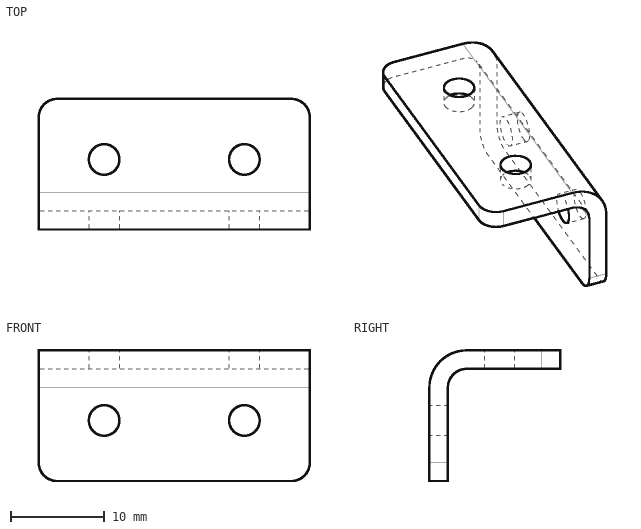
import cadquery as cq

length = 29.0
leg = 14.0
thickness = 2.0
inner_bend_radius = 2.0
outer_bend_radius = inner_bend_radius + thickness
corner_radius = 2.0
hole_diameter = 3.25
hole_spacing = 15.0
hole_from_outer_face = 7.5

hole_positions_x = (-hole_spacing / 2, hole_spacing / 2)


def bent_plate():
    """L-shaped plate: one leg runs along +Y, the other along -Z."""
    profile = (
        cq.Workplane("YZ")
        .moveTo(0, -leg)
        .lineTo(0, -outer_bend_radius)
        .radiusArc((outer_bend_radius, 0), outer_bend_radius)
        .lineTo(leg, 0)
        .lineTo(leg, -thickness)
        .lineTo(outer_bend_radius, -thickness)
        .radiusArc((thickness, -outer_bend_radius), -inner_bend_radius)
        .lineTo(thickness, -leg)
        .close()
    )
    return profile.extrude(length / 2, both=True)


def round_free_corners(plate):
    """Round the two free corners at the end of each leg."""
    plate = plate.faces(">Y").edges("|Z").fillet(corner_radius)
    return plate.faces("<Z").edges("|Y").fillet(corner_radius)


def leg_holes(plane, centre_y):
    """Pair of cylinders that pass through one leg along the plane normal."""
    centres = [(x, centre_y) for x in hole_positions_x]
    return (
        cq.Workplane(plane)
        .pushPoints(centres)
        .circle(hole_diameter / 2)
        .extrude(thickness, both=True)
    )


result = (
    round_free_corners(bent_plate())
    .cut(leg_holes("XY", hole_from_outer_face))
    .cut(leg_holes("XZ", -hole_from_outer_face))
)